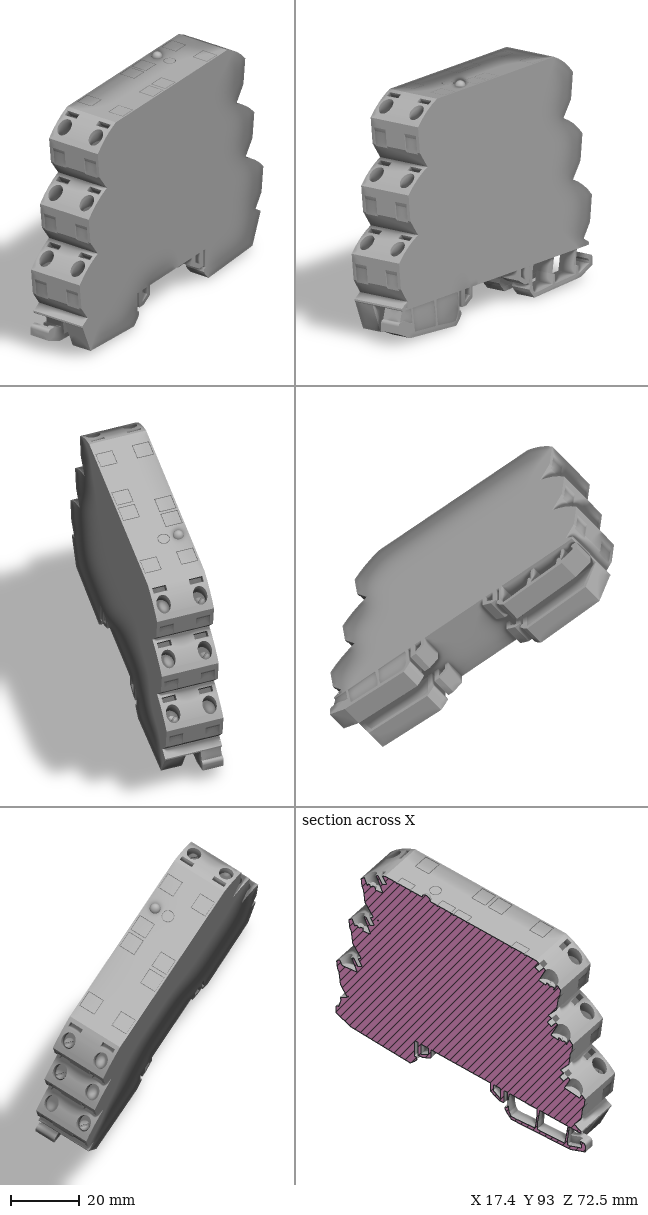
import cadquery as cq
import math


WIDTH = 17.4
BODY_TOP = 60.8
TIER_COUNT = 3
TIP_Y = 46.3
TIER_STEP_Y = 4.6
TIER_STEP_Z = 19.6
SHOULDER_RUN = 9.1
SHOULDER_RISE = 6.6
SHOULDER_BULGE = 0.65
FACE_LEAN = 0.9
FACE_HEIGHT = 8.1
TIP_Z = BODY_TOP - SHOULDER_RISE - (TIER_COUNT - 1) * TIER_STEP_Z
LEDGE_ROOT = (42.3, 2.4)
LEDGE_TIP = (44.95, 0.8)
LEDGE_LIP = (44.95, 0.3)
LEDGE_TOE_Y = 44.7

COLUMNS = (3.2, 14.3)
SCREW_COLUMN = (1, 0, 0)
HOLE_WIDTH = 4.2
HOLE_LENGTH = 5.3
HOLE_TILT = 24.0
HOLE_INSET = 3.5
HOLE_RISE = 2.9
HOLE_DEPTH = 8.4
HOLE_MOUTH = 3.7
FLOOR_TILT = 7.5
FLOOR_INSET = 3.9
FLOOR_DROP = 0.3
FLOOR_BLOCK = 27.9
SCREW_DIAMETER = 3.0
SCREW_HEIGHT = 1.1
SCREW_SLOT_WIDTH = 0.6
SCREW_SLOT_DEPTH = 0.5
SCREW_SLOT_ANGLE = 45.0
MARKER_WIDTH = 4.2
MARKER_LENGTH = 1.7
MARKER_DEPTH = 2.8
MARKER_TILT = 33.0
MARKER_INSET = 7.3
MARKER_RISE = 5.5
WINDOW_WIDTH = 4.3
WINDOW_DEPTH = 0.42
WINDOW_TOP = 2.9
WINDOW_BEVEL = 1.2

SQUARE_SIDE = 5.2
GROOVE_WIDTH = 0.23
GROOVE_DEPTH = 0.4
SQUARE_PLACES = {
    COLUMNS[0]: (21.2, 6.1, 0.2, -21.3),
    COLUMNS[1]: (21.2, 0.2, -6.0, -21.3),
}
LAMP_RADIUS = 1.6
LAMP_Y = 12.8
RING_DIAMETER = 3.7
RING_X = 7.6

FOOT_WIDTH = 6.4
CELL_RECESS = 0.3
WALL_SETBACK = 1.0
WALL_STEP_Z = -5.2
HOOK_POCKET_DEPTH = 4.65
END_Y = 46.5
FOOT_INNER_Y = 17.2
FOOT_BOTTOM = -10.1
HEEL = (40.85, -8.9)
INNER_LIP = [
    (FOOT_INNER_Y, 0),
    (FOOT_INNER_Y, -6.1),
    (16.6, -6.1),
    (16.3, -7.2),
    (17.0, -8.3),
    (18.8, FOOT_BOTTOM),
]
INNER_CELL_WALL = [(18.2, 0), (17.7, -3.7), (18.15, -7.6)]
INNER_CELL_FLOOR = [(18.8, -8.75), (20.5, -8.75), (27.5, -8.1), (28.1, -5.1), (28.4, 0)]
OUTER_CELL = [(29.5, 0), (28.7, -5.1), (28.6, -8.1), (38.6, -7.5), (39.3, -3.7), (39.8, 0)]
HOOK_TOP = -3.2
HOOK_BOTTOM = -6.5
WEB_ROOT = (40.5, 0)
WEB_CORNER = (39.9, -4.6)
WEB_BEND = (40.6, -4.6)
WEB_TOP = (43.55, HOOK_TOP)
END_CELL = [WEB_ROOT, WEB_CORNER, WEB_BEND, WEB_TOP, (45.5, HOOK_TOP), (LEDGE_TOE_Y, 0)]
HOOK_RADIUS = 1.0
HOOK_POCKET = [
    WEB_CORNER,
    (39.9, -7.4),
    (40.5, -7.4),
    (44.95, -5.7),
    (44.95, -4.8),
    (44.4, -4.1),
    (44.5, HOOK_TOP),
    WEB_TOP,
    WEB_BEND,
]
PLAIN_RECESS = [(18.6, 0), (18.6, -8.75), (40.0, -7.6), (43.55, 0)]
WALLS = [((27.45, WALL_STEP_Z), (29.5, 0)), ((38.7, WALL_STEP_Z), (40.5, 0))]

GUIDE_OUTLINE = [(16.1, 0), (16.1, -5.1), (14.1, -5.1), (11.0, -3.3), (11.0, 0)]
GUIDE_OPENING = [(14.7, 0), (14.7, -4.0), (12.2, -2.3), (12.2, 0)]
NOTCH_Y = 42.9
NOTCH_Z = 1.1
NOTCH_LENGTH = 1.5
NOTCH_HEIGHT = 1.2


def tier_edge(tier):
    """(y, z) of the outer edge of a tier, counted from the lowest."""
    return TIP_Y - tier * TIER_STEP_Y, TIP_Z + tier * TIER_STEP_Z


def side_sketch(x=0.0):
    return cq.Workplane("YZ", origin=(x, 0, 0))


def side_prism(points, end, x, width):
    """Prism along +X from a (distance, z) outline placed at the +Y or -Y end."""
    outline = [(end * distance, z) for distance, z in points]
    return side_sketch(x).polyline(outline).close().extrude(width)


def half_body():
    """The +Y half of the tiered body with its base ledge."""
    outline = side_sketch().polyline([(0, 0), (LEDGE_TOE_Y, 0), LEDGE_LIP, LEDGE_TIP, LEDGE_ROOT])
    chord = math.hypot(SHOULDER_RUN, SHOULDER_RISE)
    for tier in range(TIER_COUNT):
        edge_y, edge_z = tier_edge(tier)
        shoulder_end = (edge_y - SHOULDER_RUN, edge_z + SHOULDER_RISE)
        shoulder_middle = (
            edge_y - SHOULDER_RUN / 2 + SHOULDER_BULGE * SHOULDER_RISE / chord,
            edge_z + SHOULDER_RISE / 2 + SHOULDER_BULGE * SHOULDER_RUN / chord,
        )
        outline = outline.lineTo(edge_y - FACE_LEAN, edge_z - FACE_HEIGHT).lineTo(edge_y, edge_z)
        outline = outline.threePointArc(shoulder_middle, shoulder_end)
    return outline.lineTo(0, BODY_TOP).close().extrude(WIDTH)


def tilted_plane(x, end, y, z, tilt):
    """Plane facing up and outward, leaning by the tilt angle towards the given end."""
    lean = math.radians(tilt)
    normal = (0, end * math.sin(lean), math.cos(lean))
    return cq.Plane(origin=(x, end * y, z), xDir=(1, 0, 0), normal=normal)


def terminal_hole(x, end, tier, has_screw):
    """Tilted access hole, with a slotted screw head left standing in a well in its floor."""
    edge_y, edge_z = tier_edge(tier)
    mouth = tilted_plane(x, end, edge_y - HOLE_INSET, edge_z + HOLE_RISE, HOLE_TILT)
    floor = tilted_plane(x, end, edge_y - FLOOR_INSET, edge_z - FLOOR_DROP, FLOOR_TILT)
    shaft = (
        cq.Workplane(mouth)
        .workplane(offset=-HOLE_DEPTH)
        .ellipse(HOLE_WIDTH / 2, HOLE_LENGTH / 2)
        .extrude(HOLE_DEPTH + HOLE_MOUTH)
    )
    hole = shaft.intersect(cq.Workplane(floor).rect(FLOOR_BLOCK, FLOOR_BLOCK).extrude(FLOOR_BLOCK))
    if not has_screw:
        return hole
    well = shaft.intersect(cq.Workplane(floor).rect(FLOOR_BLOCK, FLOOR_BLOCK).extrude(-SCREW_HEIGHT))
    head = cq.Workplane(floor).circle(SCREW_DIAMETER / 2).extrude(-SCREW_HEIGHT)
    slot = (
        cq.Workplane(floor)
        .transformed(rotate=(0, 0, SCREW_SLOT_ANGLE))
        .rect(SCREW_DIAMETER, SCREW_SLOT_WIDTH)
        .extrude(-SCREW_SLOT_DEPTH)
    )
    return hole.union(well.cut(head.cut(slot)))


def marker_slot(x, end, tier):
    """Narrow slot near the upper end of a shoulder."""
    edge_y, edge_z = tier_edge(tier)
    plane = tilted_plane(x, end, edge_y - MARKER_INSET, edge_z + MARKER_RISE, MARKER_TILT)
    return cq.Workplane(plane).rect(MARKER_WIDTH, MARKER_LENGTH).extrude(MARKER_DEPTH, both=True)


def wire_window(x, end, tier):
    """Shallow bevelled recess that runs down the tier face and out below it."""
    edge_y, edge_z = tier_edge(tier)

    def face_point(drop, depth):
        return edge_y - drop * FACE_LEAN / FACE_HEIGHT - depth, edge_z - drop

    below = FACE_HEIGHT + WINDOW_BEVEL
    profile = [
        face_point(WINDOW_TOP, 0),
        face_point(WINDOW_TOP + WINDOW_BEVEL, WINDOW_DEPTH),
        face_point(below, WINDOW_DEPTH),
        face_point(below, -WINDOW_DEPTH),
        face_point(WINDOW_TOP, -WINDOW_DEPTH),
    ]
    return side_prism(profile, end, x - WINDOW_WIDTH / 2, WINDOW_WIDTH)


def top_groove(x, y, outer, inner):
    """Groove between two closed outlines on the top face."""
    plane = cq.Workplane("XY", origin=(x, y, BODY_TOP))
    return outer(plane).extrude(-GROOVE_DEPTH).cut(inner(plane).extrude(-GROOVE_DEPTH))


def square_groove(x, y):
    inner_side = SQUARE_SIDE - 2 * GROOVE_WIDTH
    return top_groove(
        x,
        y,
        lambda plane: plane.rect(SQUARE_SIDE, SQUARE_SIDE),
        lambda plane: plane.rect(inner_side, inner_side),
    )


def ring_groove(x, y):
    radius = RING_DIAMETER / 2
    return top_groove(
        x,
        y,
        lambda plane: plane.circle(radius),
        lambda plane: plane.circle(radius - GROOVE_WIDTH),
    )


def cell_cutters(end, depth):
    """The two cells of a foot, cut in from X = 0."""
    start, middle, stop = [(end * distance, z) for distance, z in INNER_CELL_WALL]
    inner = side_sketch().moveTo(*start).threePointArc(middle, stop)
    for distance, z in INNER_CELL_FLOOR:
        inner = inner.lineTo(end * distance, z)
    return inner.close().extrude(depth).union(side_prism(OUTER_CELL, end, 0, depth))


def hooked_foot(end):
    """Foot at X = 0 with a hook at its outer end, before its cells are cut."""
    outline = INNER_LIP + [
        HEEL,
        (END_Y, HOOK_BOTTOM),
        (END_Y, HOOK_TOP),
        WEB_TOP,
        WEB_BEND,
        WEB_CORNER,
        WEB_ROOT,
    ]
    foot = side_prism(outline, end, 0, FOOT_WIDTH)
    corner = cq.selectors.NearestToPointSelector((FOOT_WIDTH / 2, end * END_Y, HOOK_TOP))
    return foot.edges(corner).fillet(HOOK_RADIUS)


def open_foot(end):
    """Foot with open cells, stepped cell walls and a pocket behind the hook."""
    foot = hooked_foot(end).cut(cell_cutters(end, FOOT_WIDTH))
    foot = foot.cut(side_prism(HOOK_POCKET, end, 0, HOOK_POCKET_DEPTH))
    for (near, bottom), (far, top) in WALLS:
        corners = [(near, bottom), (far, bottom), (far, top), (near, top)]
        foot = foot.cut(side_prism(corners, end, 0, WALL_SETBACK))
    return foot


def closed_foot(end):
    """Foot with shallow cells and a filled end above the hook."""
    foot = hooked_foot(end).union(side_prism(END_CELL, end, 0, FOOT_WIDTH))
    return foot.cut(cell_cutters(end, CELL_RECESS)).cut(side_prism(END_CELL, end, 0, CELL_RECESS))


def plain_foot(end):
    """Foot on the far side, with a sloping outer end and a shallow recess facing the gap."""
    near_x = WIDTH - FOOT_WIDTH
    foot = side_prism(INNER_LIP + [HEEL, (LEDGE_TOE_Y, 0)], end, near_x, FOOT_WIDTH)
    return foot.cut(side_prism(PLAIN_RECESS, end, near_x, CELL_RECESS))


def rail_guide(end, x):
    guide = side_prism(GUIDE_OUTLINE, end, x, FOOT_WIDTH)
    return guide.cut(side_prism(GUIDE_OPENING, end, x, FOOT_WIDTH))


half = half_body()
body = half.union(half.mirror("XZ"))

for end in (1, -1):
    for tier in range(TIER_COUNT):
        for column, x in enumerate(COLUMNS):
            body = body.cut(terminal_hole(x, end, tier, column == SCREW_COLUMN[tier]))
            body = body.cut(marker_slot(x, end, tier))
            body = body.cut(wire_window(x, end, tier))

for x, places in SQUARE_PLACES.items():
    for y in places:
        body = body.cut(square_groove(x, y))
body = body.cut(ring_groove(RING_X, LAMP_Y))
lamp = cq.Workplane("XY").sphere(LAMP_RADIUS).translate((COLUMNS[0], LAMP_Y, BODY_TOP))
body = body.union(lamp)

notch = side_sketch().center(NOTCH_Y, NOTCH_Z).rect(NOTCH_LENGTH, NOTCH_HEIGHT).extrude(CELL_RECESS)
body = body.cut(notch)

body = body.union(open_foot(-1)).union(closed_foot(1))
for end in (1, -1):
    body = body.union(plain_foot(end))
    for x in (0, WIDTH - FOOT_WIDTH):
        body = body.union(rail_guide(end, x))

result = body